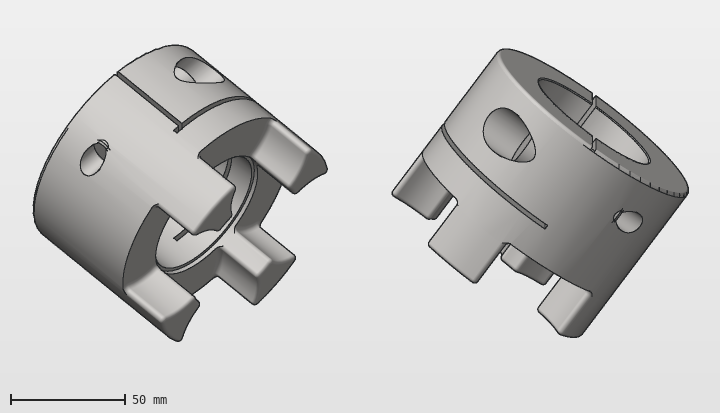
import cadquery as cq
import math

OUTER_RADIUS = 52.0
BORE_RADIUS = 30.0
TOTAL_LENGTH = 80.5
RIM_FILLET = 1.6
BORE_CHAMFER = 0.5

JAW_COUNT = 4
JAW_PITCH = 360.0 / JAW_COUNT
FIRST_JAW_ANGLE = JAW_PITCH / 4
JAW_FLOOR_X = 56.4
GAP_CENTRE_RADIUS = 40.7
GAP_RADIUS = 23.8
JAW_INNER_RADIUS = 31.6
JAW_RECESS_DEPTH = 2.1
JAW_SIDE_FILLET = 2.0
JAW_TIP_FILLET = 1.6
JAW_ROOT_FILLET = 2.3

SLOT_WIDTH = 2.0
CROSS_SLOT_X = 40.0
CROSS_SLOT_END_Y = -4.1
SLIT_ARC_RADIUS = 62.9
SLIT_ARC_X = -27.6
SLIT_ARC_Z = 4.4

SCREW_X = 19.9
SCREW_Z = 39.1
SCREW_RADIUS = 6.0
SCREW_HEAD_RADIUS = 8.9
SCREW_HEAD_LENGTH = 12.0
SCREW_HEAD_END_Y = 23.9
THREAD_HOLE_RADIUS = 5.2
COUNTERBORE_RADIUS = 9.6
SCREW_SHANK_LENGTH = 39.9

SCREW_SEAT_Y = SCREW_HEAD_END_Y - SCREW_HEAD_LENGTH
SCREW_TIP_CHAMFER = SCREW_RADIUS - THREAD_HOLE_RADIUS
CLEAR = 2 * OUTER_RADIUS


def circles_meet(centre_a, radius_a, centre_b, radius_b):
    """Point where two circles meet, on the left of the line from a to b."""
    dx = centre_b[0] - centre_a[0]
    dy = centre_b[1] - centre_a[1]
    gap = math.hypot(dx, dy)
    along = (gap**2 + radius_a**2 - radius_b**2) / (2 * gap)
    aside = math.sqrt(radius_a**2 - along**2)
    return (
        centre_a[0] + (along * dx - aside * dy) / gap,
        centre_a[1] + (along * dy + aside * dx) / gap,
    )


def towards(start, target, distance):
    """Point at a distance from start on the way to target."""
    share = distance / math.dist(start, target)
    return (
        start[0] + share * (target[0] - start[0]),
        start[1] + share * (target[1] - start[1]),
    )


def mirrored(point):
    return (point[0], -point[1])


def jaw_outline():
    """Jaw cross-section in the YZ plane, centred on +Y, with rounded edges."""
    axis = (0.0, 0.0)
    half_pitch = math.radians(JAW_PITCH / 2)
    gap_centre = (GAP_CENTRE_RADIUS * math.cos(half_pitch), GAP_CENTRE_RADIUS * math.sin(half_pitch))
    fillet_to_gap = GAP_RADIUS + JAW_SIDE_FILLET
    outer_centre = mirrored(
        circles_meet(axis, OUTER_RADIUS - JAW_SIDE_FILLET, mirrored(gap_centre), fillet_to_gap)
    )
    inner_centre = mirrored(
        circles_meet(axis, JAW_INNER_RADIUS + JAW_SIDE_FILLET, mirrored(gap_centre), fillet_to_gap)
    )

    outer_start = towards(axis, outer_centre, OUTER_RADIUS)
    outer_end = towards(outer_centre, gap_centre, JAW_SIDE_FILLET)
    inner_start = towards(inner_centre, gap_centre, JAW_SIDE_FILLET)
    inner_end = towards(axis, inner_centre, JAW_INNER_RADIUS)

    def arc_middle(centre, radius, start, end):
        chord_middle = ((start[0] + end[0]) / 2, (start[1] + end[1]) / 2)
        return towards(centre, chord_middle, radius)

    outer_middle = arc_middle(outer_centre, JAW_SIDE_FILLET, outer_start, outer_end)
    side_middle = arc_middle(gap_centre, GAP_RADIUS, outer_end, inner_start)
    inner_middle = arc_middle(inner_centre, JAW_SIDE_FILLET, inner_start, inner_end)
    return (
        cq.Workplane("YZ", origin=(JAW_FLOOR_X, 0, 0))
        .moveTo(*mirrored(outer_start))
        .threePointArc((OUTER_RADIUS, 0), outer_start)
        .threePointArc(outer_middle, outer_end)
        .threePointArc(side_middle, inner_start)
        .threePointArc(inner_middle, inner_end)
        .threePointArc((JAW_INNER_RADIUS, 0), mirrored(inner_end))
        .threePointArc(mirrored(inner_middle), mirrored(inner_start))
        .threePointArc(mirrored(side_middle), mirrored(outer_end))
        .threePointArc(mirrored(outer_middle), mirrored(outer_start))
        .close()
    )


def make_jaws():
    """Jaws with rounded tips, flared at the root into a plate wider than the hub."""
    jaw = jaw_outline().extrude(TOTAL_LENGTH - JAW_FLOOR_X).faces(">X").edges().fillet(JAW_TIP_FILLET)
    plate_radius = OUTER_RADIUS + 2 * JAW_ROOT_FILLET
    jaws = cq.Workplane("YZ").circle(plate_radius).extrude(JAW_FLOOR_X)
    for index in range(JAW_COUNT):
        angle = FIRST_JAW_ANGLE + index * JAW_PITCH
        jaws = jaws.union(jaw.rotate((0, 0, 0), (1, 0, 0), angle))
    root_box = cq.selectors.BoxSelector(
        (JAW_FLOOR_X - 0.1, -OUTER_RADIUS, -OUTER_RADIUS),
        (JAW_FLOOR_X + 0.1, OUTER_RADIUS, OUTER_RADIUS),
        boundingbox=True,
    )
    return jaws.edges(root_box).fillet(JAW_ROOT_FILLET)


def make_blank():
    """Tube with a rounded rim and chamfered bore at x = 0, and a wider recess among the jaws."""
    tube = cq.Workplane("YZ").circle(OUTER_RADIUS).extrude(TOTAL_LENGTH)
    tube = tube.faces("<X").edges().fillet(RIM_FILLET)
    bore = cq.Workplane("YZ").circle(BORE_RADIUS).extrude(TOTAL_LENGTH)
    recess_x = JAW_FLOOR_X - JAW_RECESS_DEPTH
    recess = (
        cq.Workplane("YZ", origin=(recess_x, 0, 0)).circle(JAW_INNER_RADIUS).extrude(TOTAL_LENGTH - recess_x)
    )
    tube = tube.cut(bore).cut(recess)
    return tube.faces("<X").edges(cq.selectors.RadiusNthSelector(0)).chamfer(BORE_CHAMFER)


def make_cross_slot():
    slot_depth = OUTER_RADIUS - CROSS_SLOT_END_Y
    return cq.Workplane("XY").box(SLOT_WIDTH, slot_depth, CLEAR, centered=(False, False, True)).translate(
        (CROSS_SLOT_X, CROSS_SLOT_END_Y, 0)
    )


def make_slit():
    """Lengthwise slit: full length above the bore, ending on a saw arc below it."""
    upper = cq.Workplane("XY").box(
        CROSS_SLOT_X, SLOT_WIDTH, OUTER_RADIUS, centered=(False, True, False)
    )
    lower = (
        cq.Workplane("XZ", origin=(SLIT_ARC_X, SLOT_WIDTH / 2, SLIT_ARC_Z))
        .circle(SLIT_ARC_RADIUS)
        .extrude(SLOT_WIDTH)
    )
    return upper.union(lower)


def cylinder_along_y(radius, start_y, end_y, z):
    return (
        cq.Workplane("XZ", origin=(SCREW_X, end_y, z)).circle(radius).extrude(end_y - start_y)
    )


def make_screw(z):
    """Cap screw with its head towards +Y and a chamfered tip towards -Y."""
    tip_y = SCREW_SEAT_Y - SCREW_SHANK_LENGTH
    shank = cylinder_along_y(SCREW_RADIUS, tip_y, SCREW_SEAT_Y, z)
    shank = shank.faces("<Y").edges().chamfer(SCREW_TIP_CHAMFER)
    head = cylinder_along_y(SCREW_HEAD_RADIUS, SCREW_SEAT_Y, SCREW_HEAD_END_Y, z)
    return shank.union(head)


def make_hub(screws):
    blank = make_blank().cut(make_cross_slot()).cut(make_slit())
    for z in SCREW_HEIGHTS:
        blank = blank.cut(cylinder_along_y(COUNTERBORE_RADIUS, SCREW_SEAT_Y, OUTER_RADIUS, z))
        blank = blank.cut(cylinder_along_y(THREAD_HOLE_RADIUS, -OUTER_RADIUS, SCREW_SEAT_Y, z))
    for screw in screws:
        blank = blank.cut(screw)
    hub = blank.intersect(make_jaws())
    return cq.Workplane(obj=hub.val().fix())


SCREW_HEIGHTS = (SCREW_Z, -SCREW_Z)
screws = [make_screw(z) for z in SCREW_HEIGHTS]
hub = make_hub(screws)
result = cq.Compound.makeCompound([hub.val(), *[screw.val() for screw in screws]])